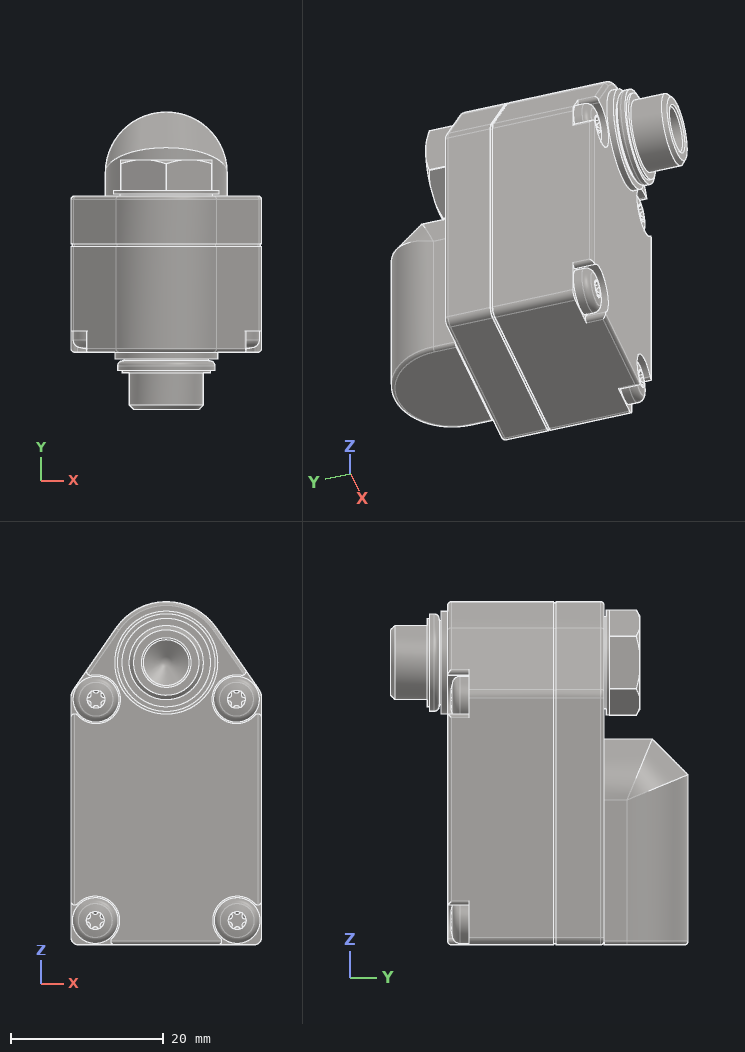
import cadquery as cq
import math


WIDTH = 25.0
HALF_WIDTH = WIDTH / 2
HOUSING_DEPTH = 20.5
HEAD_RADIUS = 8.0
HEIGHT = 45.0
BORE_Z = HEIGHT - HEAD_RADIUS
HEAD_TANGENT_X = 6.58
SHOULDER_RADIUS = 2.0
FOOT_RADIUS = 1.0
EDGE_RADIUS = 0.5
SEAM_Y = 14.05
SEAM_WIDTH = 0.3
SEAM_DEPTH = 0.15

SLOPE_NX = HEAD_TANGENT_X / HEAD_RADIUS
SLOPE_NZ = math.sqrt(1 - SLOPE_NX**2)
SHOULDER_Z = BORE_Z + (HEAD_RADIUS - SLOPE_NX * HALF_WIDTH) / SLOPE_NZ

POCKET_RADIUS = 3.2
POCKET_DEPTH = 2.8
POCKET_MOUTH_RADIUS = 0.5
POCKET_OVERSHOOT = 1.0
LOWER_SCREW_X = HALF_WIDTH - POCKET_RADIUS
LOWER_SCREW_Z = POCKET_RADIUS
UPPER_SCREW_X = 9.2
UPPER_SCREW_Z = 32.2
HEAD_DIAMETER = 6.0
HEAD_RIM_Y = 1.63
CROWN_EDGE_DIAMETER = 4.45
CROWN_EDGE_Y = 0.65
CROWN_TOP_Y = 0.35
RIM_BULGE = 0.16
SOCKET_OUTER_DIAMETER = 2.4
SOCKET_INNER_DIAMETER = 1.6
SOCKET_LOBES = 6
SOCKET_LOBE_ANGLE = 12.0
SOCKET_DEPTH = 0.9
SOCKET_SINK_DIAMETER = 2.5

FLANGE_DIAMETER = 13.5
FLANGE_FRONT_Y = -0.9
NECK_DIAMETER = 11.1
RING_DIAMETER = 12.8
RING_REAR_Y = -1.1
RING_FRONT_Y = -2.4
RING_ROUNDING = 0.7
COLLAR_DIAMETER = 11.6
COLLAR_FRONT_Y = -2.7
SPIGOT_DIAMETER = 9.73
SPIGOT_END_DIAMETER = 8.57
SPIGOT_FRONT_Y = -7.5
SPIGOT_CHAMFER = (SPIGOT_DIAMETER - SPIGOT_END_DIAMETER) / 2
BORE_DIAMETER = 6.0
BORE_CHAMFER = 0.25
BORE_DEPTH = 10.0
BORE_POINT_ANGLE = 118.0

SEAL_DIAMETER = 12.15
SEAL_REAR_Y = 20.75
WASHER_DIAMETER = 13.8
WASHER_REAR_Y = 21.2
HEX_ACROSS_FLATS = 12.0
HEX_ACROSS_CORNERS = HEX_ACROSS_FLATS / math.cos(math.radians(30))
HEX_REAR_Y = 25.2
HEX_CORNER_DIAMETER = 13.8
HEX_FACE_DIAMETER = 12.15
HEX_CHAMFER_ANGLE = 30.0

CAP_RADIUS = 8.0
CAP_AXIS_Y = 23.5
CAP_AXIS_Z = 19.0
CAP_LENGTH = 80.0
CAP_EDGE_RADIUS = 0.5


def housing_outline():
    """Upright outline with a round head, on the XZ plane through Y = 0."""
    tangent_z = BORE_Z + HEAD_RADIUS * SLOPE_NZ
    return (
        cq.Workplane("XZ")
        .moveTo(-HALF_WIDTH, 0)
        .lineTo(HALF_WIDTH, 0)
        .lineTo(HALF_WIDTH, SHOULDER_Z)
        .lineTo(HEAD_TANGENT_X, tangent_z)
        .threePointArc((0, HEIGHT), (-HEAD_TANGENT_X, tangent_z))
        .lineTo(-HALF_WIDTH, SHOULDER_Z)
        .close()
    )


def housing():
    """Housing block with its corners rounded along Y and its end edges still sharp."""
    body = housing_outline().extrude(-HOUSING_DEPTH)
    for side in (-1, 1):
        for z, radius in ((0, FOOT_RADIUS), (SHOULDER_Z, SHOULDER_RADIUS)):
            corner = cq.selectors.NearestToPointSelector((side * HALF_WIDTH, HOUSING_DEPTH / 2, z))
            body = body.edges(corner).fillet(radius)
    return body


def seam_groove(body):
    """Shallow band around the sharp-edged block, to be cut away as the seam groove."""
    front_face = body.faces("<Y").wires().val()
    outer = cq.Face.makeFromWires(front_face)
    inner = cq.Face.makeFromWires(front_face.offset2D(-SEAM_DEPTH)[0])
    along = cq.Vector(0, SEAM_WIDTH, 0)
    ring = cq.Solid.extrudeLinear(outer, along).cut(cq.Solid.extrudeLinear(inner, along))
    return cq.Workplane(obj=ring).translate((0, SEAM_Y - SEAM_WIDTH / 2, 0))


def turned(profile):
    """Close a profile whose ends lie on its plane's Y axis and revolve it about that axis."""
    return profile.close().revolve(360, (0, 0, 0), (0, 1, 0))


def polar(radius, degrees):
    """Point at a radius and an angle, as a pair of plane coordinates."""
    angle = math.radians(degrees)
    return radius * math.cos(angle), radius * math.sin(angle)


def pocket_mouth(wall_angle, wall_distance, turn):
    """Points of one rounded mouth edge, relative to the screw axis.

    The wall faces wall_angle at wall_distance from the axis; turn (+1 or -1) picks the side
    of the pocket. Returns the points on the wall, on the round and on the pocket cylinder.
    """
    reach = POCKET_RADIUS + POCKET_MOUTH_RADIUS
    inset = wall_distance - POCKET_MOUTH_RADIUS
    swing = math.degrees(math.acos(inset / reach))
    round_angle = wall_angle + turn * swing
    center = cq.Vector(*polar(reach, round_angle))
    outward = cq.Vector(*polar(POCKET_MOUTH_RADIUS, wall_angle))
    inward = cq.Vector(*polar(POCKET_MOUTH_RADIUS, round_angle + 180))
    on_round = center + (outward + inward).normalized() * POCKET_MOUTH_RADIUS
    return center + outward, on_round, center + inward


def screw_pocket(x, z, first_wall, second_wall):
    """Corner pocket around a screw, open through two outer walls given as (angle, distance).

    The first wall comes before the second one counterclockwise.
    """
    first_angle, first_distance = first_wall
    second_angle, second_distance = second_wall
    wall_a, round_a, bore_a = pocket_mouth(first_angle, first_distance, -1)
    wall_b, round_b, bore_b = pocket_mouth(second_angle, second_distance, 1)
    middle_angle = (first_angle + second_angle) / 2
    beyond_a = wall_a + cq.Vector(*polar(POCKET_OVERSHOOT, first_angle))
    beyond_b = wall_b + cq.Vector(*polar(POCKET_OVERSHOOT, second_angle))
    beyond_corner = cq.Vector(*polar(2 * POCKET_RADIUS, middle_angle))
    inner_side = cq.Vector(*polar(POCKET_RADIUS, middle_angle + 180))
    return (
        cq.Workplane("XZ", origin=(x, 0, z))
        .moveTo(wall_a.x, wall_a.y)
        .lineTo(beyond_a.x, beyond_a.y)
        .lineTo(beyond_corner.x, beyond_corner.y)
        .lineTo(beyond_b.x, beyond_b.y)
        .lineTo(wall_b.x, wall_b.y)
        .threePointArc((round_b.x, round_b.y), (bore_b.x, bore_b.y))
        .threePointArc((inner_side.x, inner_side.y), (bore_a.x, bore_a.y))
        .threePointArc((round_a.x, round_a.y), (wall_a.x, wall_a.y))
        .close()
        .extrude(-POCKET_DEPTH)
    )


def corner_pockets():
    """The four screw pockets; the +X pair mirrors the -X pair."""
    slope_angle = 180 - math.degrees(math.atan2(SLOPE_NZ, SLOPE_NX))
    slope_distance = HEAD_RADIUS - UPPER_SCREW_X * SLOPE_NX - (UPPER_SCREW_Z - BORE_Z) * SLOPE_NZ
    side_distance = HALF_WIDTH - UPPER_SCREW_X
    upper = screw_pocket(-UPPER_SCREW_X, UPPER_SCREW_Z, (slope_angle, slope_distance), (180, side_distance))
    lower = screw_pocket(
        -LOWER_SCREW_X, LOWER_SCREW_Z, (180, HALF_WIDTH - LOWER_SCREW_X), (270, LOWER_SCREW_Z)
    )
    pair = upper.union(lower)
    return pair.union(pair.mirror("YZ"))


def torx_socket():
    """Six-lobed socket recess below the crown of a screw on the Y axis."""
    outer = SOCKET_OUTER_DIAMETER / 2
    inner = SOCKET_INNER_DIAMETER / 2
    shoulder = (outer + inner) / 2
    pitch = 360 / SOCKET_LOBES
    outline = cq.Workplane("XZ", origin=(0, CROWN_TOP_Y, 0)).moveTo(*polar(shoulder, -SOCKET_LOBE_ANGLE))
    for lobe in range(SOCKET_LOBES):
        angle = lobe * pitch
        outline = outline.threePointArc(polar(outer, angle), polar(shoulder, angle + SOCKET_LOBE_ANGLE))
        outline = outline.threePointArc(
            polar(inner, angle + pitch / 2), polar(shoulder, angle + pitch - SOCKET_LOBE_ANGLE)
        )
    return outline.close().extrude(-SOCKET_DEPTH)


def socket_sink():
    """45 degree conical lead-in that narrows to the valleys of the socket."""
    mouth = SOCKET_SINK_DIAMETER / 2
    throat = SOCKET_INNER_DIAMETER / 2
    return turned(
        cq.Workplane("XY", origin=(0, CROWN_TOP_Y, 0))
        .lineTo(mouth, 0)
        .lineTo(throat, mouth - throat)
        .lineTo(0, mouth - throat)
    )


def screw_head():
    """Pan head on the Y axis, seated on the pocket floor, with its crown towards -Y."""
    rim = HEAD_DIAMETER / 2
    crown = CROWN_EDGE_DIAMETER / 2
    rim_middle = ((rim + crown) / 2 + RIM_BULGE, (HEAD_RIM_Y + CROWN_EDGE_Y) / 2 - RIM_BULGE)
    crown_middle = (crown / 2, CROWN_TOP_Y + (CROWN_EDGE_Y - CROWN_TOP_Y) / 4)
    head = turned(
        cq.Workplane("XY")
        .moveTo(0, POCKET_DEPTH)
        .lineTo(rim, POCKET_DEPTH)
        .lineTo(rim, HEAD_RIM_Y)
        .threePointArc(rim_middle, (crown, CROWN_EDGE_Y))
        .threePointArc(crown_middle, (0, CROWN_TOP_Y))
    )
    return head.cut(torx_socket()).cut(socket_sink())


def screws():
    """The four screw heads."""
    head = screw_head()
    heads = cq.Workplane("XY")
    for side in (-1, 1):
        heads = heads.union(head.translate((side * LOWER_SCREW_X, 0, LOWER_SCREW_Z)))
        heads = heads.union(head.translate((side * UPPER_SCREW_X, 0, UPPER_SCREW_Z)))
    return heads


def disc(diameter, start_y, end_y):
    """Cylinder on the bore axis between two Y positions."""
    return cq.Workplane("XZ", origin=(0, start_y, BORE_Z)).circle(diameter / 2).extrude(start_y - end_y)


def rounded_ring():
    """Ring in front of the neck, rounded at its rear, with a narrower collar in front."""
    outer = RING_DIAMETER / 2
    round_middle = RING_ROUNDING * (1 - math.sqrt(0.5))
    return turned(
        cq.Workplane("XY", origin=(0, 0, BORE_Z))
        .moveTo(0, RING_REAR_Y)
        .lineTo(outer - RING_ROUNDING, RING_REAR_Y)
        .threePointArc(
            (outer - round_middle, RING_REAR_Y - round_middle), (outer, RING_REAR_Y - RING_ROUNDING)
        )
        .lineTo(outer, RING_FRONT_Y)
        .lineTo(COLLAR_DIAMETER / 2, RING_FRONT_Y)
        .lineTo(COLLAR_DIAMETER / 2, COLLAR_FRONT_Y)
        .lineTo(0, COLLAR_FRONT_Y)
    )


def connector():
    """Flange, neck, rounded ring and chamfered spigot on the front face."""
    flange = disc(FLANGE_DIAMETER, 0, FLANGE_FRONT_Y)
    neck = disc(NECK_DIAMETER, 0, RING_FRONT_Y)
    ring = rounded_ring()
    spigot = disc(SPIGOT_DIAMETER, 0, SPIGOT_FRONT_Y).faces("<Y").edges().chamfer(SPIGOT_CHAMFER)
    return flange.union(neck).union(ring).union(spigot)


def connector_bore():
    """Blind drilled bore with a conical bottom and a slightly chamfered mouth."""
    radius = BORE_DIAMETER / 2
    floor_y = SPIGOT_FRONT_Y + BORE_DEPTH
    point_depth = radius / math.tan(math.radians(BORE_POINT_ANGLE / 2))
    return turned(
        cq.Workplane("XY", origin=(0, 0, BORE_Z))
        .moveTo(0, SPIGOT_FRONT_Y)
        .lineTo(radius + BORE_CHAMFER, SPIGOT_FRONT_Y)
        .lineTo(radius, SPIGOT_FRONT_Y + BORE_CHAMFER)
        .lineTo(radius, floor_y)
        .lineTo(0, floor_y + point_depth)
    )


def plug():
    """Hexagon plug with its washer and seal on the rear face, two corners pointing up and down."""
    seal = disc(SEAL_DIAMETER, SEAL_REAR_Y, HOUSING_DEPTH)
    washer = disc(WASHER_DIAMETER, WASHER_REAR_Y, SEAL_REAR_Y)
    hexagon = (
        cq.Workplane("XZ", origin=(0, HEX_REAR_Y, BORE_Z))
        .transformed(rotate=(0, 0, 90))
        .polygon(6, HEX_ACROSS_CORNERS)
        .extrude(HEX_REAR_Y - WASHER_REAR_Y)
    )
    chamfer_width = (HEX_CORNER_DIAMETER - HEX_FACE_DIAMETER) / 2
    chamfer_height = chamfer_width * math.tan(math.radians(HEX_CHAMFER_ANGLE))
    envelope = turned(
        cq.Workplane("XY", origin=(0, 0, BORE_Z))
        .moveTo(0, WASHER_REAR_Y)
        .lineTo(HEX_CORNER_DIAMETER / 2, WASHER_REAR_Y)
        .lineTo(HEX_CORNER_DIAMETER / 2, HEX_REAR_Y - chamfer_height)
        .lineTo(HEX_FACE_DIAMETER / 2, HEX_REAR_Y)
        .lineTo(0, HEX_REAR_Y)
    )
    return seal.union(washer).union(hexagon.intersect(envelope))


def round_nosed_bar(tilt):
    """Long bar through the cap corner: half round outwards, flat sided inwards.

    The bar runs upright at tilt 0 and along Y at tilt 90, always across the X axis.
    """
    half_length = CAP_LENGTH / 2
    bar = (
        cq.Workplane("XY", origin=(0, 0, -half_length))
        .moveTo(-CAP_RADIUS, -half_length)
        .lineTo(CAP_RADIUS, -half_length)
        .lineTo(CAP_RADIUS, 0)
        .threePointArc((0, CAP_RADIUS), (-CAP_RADIUS, 0))
        .close()
        .extrude(CAP_LENGTH)
    )
    return bar.rotate((0, 0, 0), (1, 0, 0), tilt).translate((0, CAP_AXIS_Y, CAP_AXIS_Z))


def cap():
    """Rounded cap: an upright bar mitred through 45 degrees into the rear face of the housing."""
    elbow = round_nosed_bar(0).intersect(round_nosed_bar(45)).intersect(round_nosed_bar(90))
    room = cq.Workplane("XY", origin=(0, HOUSING_DEPTH, 0)).box(
        WIDTH, CAP_LENGTH, HEIGHT, centered=(True, False, False)
    )
    body = elbow.intersect(room)
    foot = cq.selectors.NearestToPointSelector((0, CAP_AXIS_Y + CAP_RADIUS, 0))
    return body.edges(foot).fillet(CAP_EDGE_RADIUS)


block = housing()
result = (
    block.faces("<Y or >Y").edges().fillet(EDGE_RADIUS)
    .cut(seam_groove(block))
    .cut(corner_pockets())
    .union(screws())
    .union(connector())
    .union(plug())
    .union(cap())
    .cut(connector_bore())
)